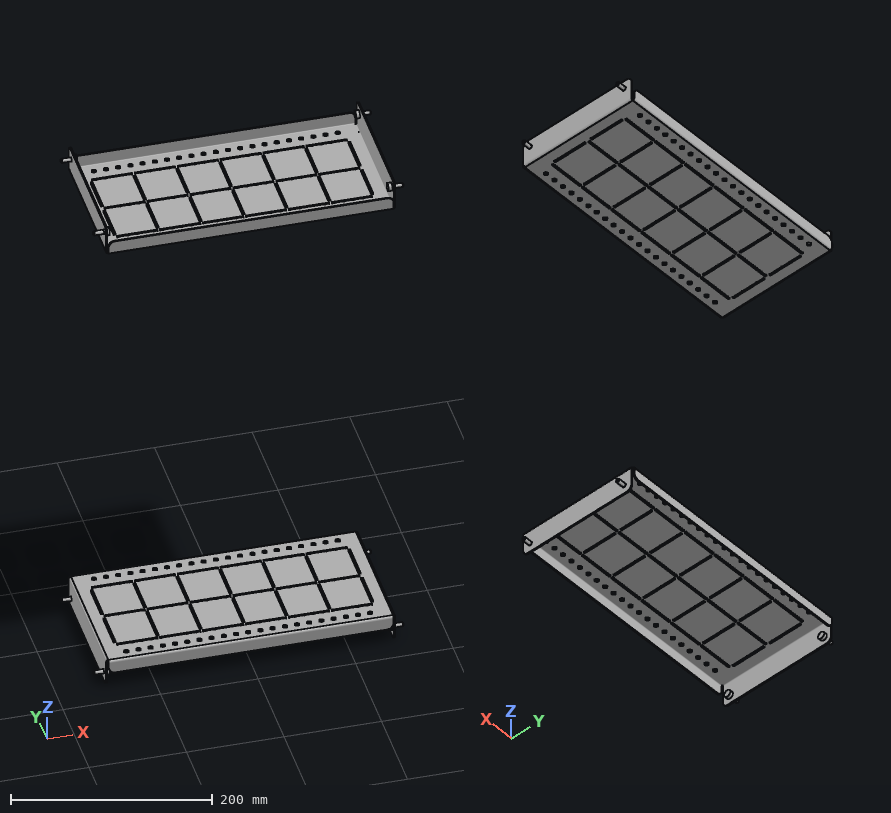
import cadquery as cq

TOTAL_HEIGHT = 562.0
OVERALL_LENGTH = 318.0

TRAY_LENGTH = 297.0
TRAY_WIDTH = 149.0
SHEET = 1.5
BEND_RADIUS = 2.55
CORNER_SETBACK = 2.35
END_HEIGHT = 31.0
SIDE_HEIGHT = 15.0
WALL_CORNER_RADIUS = 6.0

ROW_SPACING = 125.5
ROW_LENGTH = 250.0
HOLES_PER_ROW = 21
HOLE_DIAMETER = 4.5

GRID_LENGTH = 264.0
GRID_WIDTH = 98.0
GRID_COLUMNS = 6
GRID_ROWS = 2
SLOT_WIDTH = 2.0
X_SLOT_BRIDGE = 3.0
Y_SLOT_BRIDGE = 8.0

PIN_DIAMETER = 4.5
PIN_HEAD_DIAMETER = 8.5
PIN_HEAD_THICKNESS = 4.0
PIN_TIP_CHAMFER = 1.0
PIN_HEIGHT = 20.0

PIN_PROJECTION = (OVERALL_LENGTH - TRAY_LENGTH) / 2
COLUMN_PITCH = GRID_LENGTH / GRID_COLUMNS
ROW_PITCH = GRID_WIDTH / GRID_ROWS


def folded_channel(length, span, height):
    """U-shaped channel along X: a floor with a rounded bend up into a wall on each Y side."""
    inner_radius = BEND_RADIUS - SHEET
    outer = (
        cq.Workplane("XY")
        .box(length, span, height, centered=(True, True, False))
        .edges("|X and <Z")
        .fillet(BEND_RADIUS)
    )
    inner = (
        cq.Workplane("XY", origin=(0, 0, SHEET))
        .box(length, span - 2 * SHEET, height, centered=(True, True, False))
        .edges("|X and <Z")
        .fillet(inner_radius)
    )
    return outer.cut(inner).edges("|Y and >Z").fillet(WALL_CORNER_RADIUS)


def tray_shell():
    """Floor with four walls; each pair of walls stops just short of the other pair."""
    sides = folded_channel(TRAY_LENGTH - 2 * CORNER_SETBACK, TRAY_WIDTH, SIDE_HEIGHT)
    ends = folded_channel(TRAY_WIDTH - 2 * CORNER_SETBACK, TRAY_LENGTH, END_HEIGHT)
    return sides.union(ends.rotate((0, 0, 0), (0, 0, 1), 90))


def floor_holes():
    """Two rows of round holes through the floor."""
    return (
        cq.Workplane("XY")
        .rarray(ROW_LENGTH / (HOLES_PER_ROW - 1), ROW_SPACING, HOLES_PER_ROW, 2)
        .circle(HOLE_DIAMETER / 2)
        .extrude(SHEET)
    )


def floor_slots():
    """One slot along every cell border of the grid."""
    along_x = (
        cq.Workplane("XY")
        .rarray(COLUMN_PITCH, ROW_PITCH, GRID_COLUMNS, GRID_ROWS + 1)
        .rect(COLUMN_PITCH - X_SLOT_BRIDGE, SLOT_WIDTH)
        .extrude(SHEET)
    )
    along_y = (
        cq.Workplane("XY")
        .rarray(COLUMN_PITCH, ROW_PITCH, GRID_COLUMNS + 1, GRID_ROWS)
        .rect(SLOT_WIDTH, ROW_PITCH - Y_SLOT_BRIDGE)
        .extrude(SHEET)
    )
    return along_x.union(along_y)


def pin_holes():
    """Holes through both end walls, one for each pin."""
    return (
        cq.Workplane("YZ", origin=(-TRAY_LENGTH / 2, 0, PIN_HEIGHT))
        .rarray(ROW_SPACING, 5.5, 2, 1)
        .circle(PIN_DIAMETER / 2)
        .extrude(TRAY_LENGTH)
    )


def make_tray():
    """Tray opening upwards, with the outer face of its floor at Z = 0."""
    return tray_shell().cut(floor_holes()).cut(floor_slots()).cut(pin_holes())


def make_pin(side, y):
    """Headed pin pointing out through the end wall on the given X side (-1 or 1)."""
    wall_inner_x = TRAY_LENGTH / 2 - SHEET
    head = (
        cq.Workplane("YZ", origin=(wall_inner_x - PIN_HEAD_THICKNESS, y, PIN_HEIGHT))
        .circle(PIN_HEAD_DIAMETER / 2)
        .extrude(PIN_HEAD_THICKNESS)
    )
    shank = (
        cq.Workplane("YZ", origin=(wall_inner_x, y, PIN_HEIGHT))
        .circle(PIN_DIAMETER / 2)
        .extrude(SHEET + PIN_PROJECTION)
        .faces(">X")
        .chamfer(PIN_TIP_CHAMFER)
    )
    pin = head.union(shank)
    return pin if side > 0 else pin.mirror("YZ")


tray = make_tray()
pins = [make_pin(side, y) for side in (-1, 1) for y in (-ROW_SPACING / 2, ROW_SPACING / 2)]

bodies = []
for body in [tray, *pins]:
    upper = body.translate((0, 0, TOTAL_HEIGHT - END_HEIGHT))
    lower = body.mirror("XY").translate((0, 0, END_HEIGHT))
    bodies.append(upper.val())
    bodies.append(lower.val())

result = cq.Compound.makeCompound(bodies)